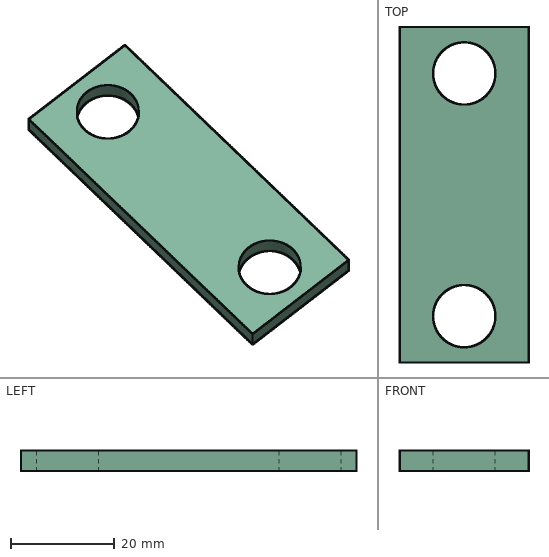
import cadquery as cq

plate_width = 25.0
plate_length = 65.0
plate_thickness = 4.0
hole_diameter = 12.0
hole_spacing = 47.0

plate = cq.Workplane("XY").box(plate_width, plate_length, plate_thickness)

hole_centres = [(0, side * hole_spacing / 2) for side in (-1, 1)]
result = plate.faces(">Z").workplane().pushPoints(hole_centres).hole(hole_diameter)